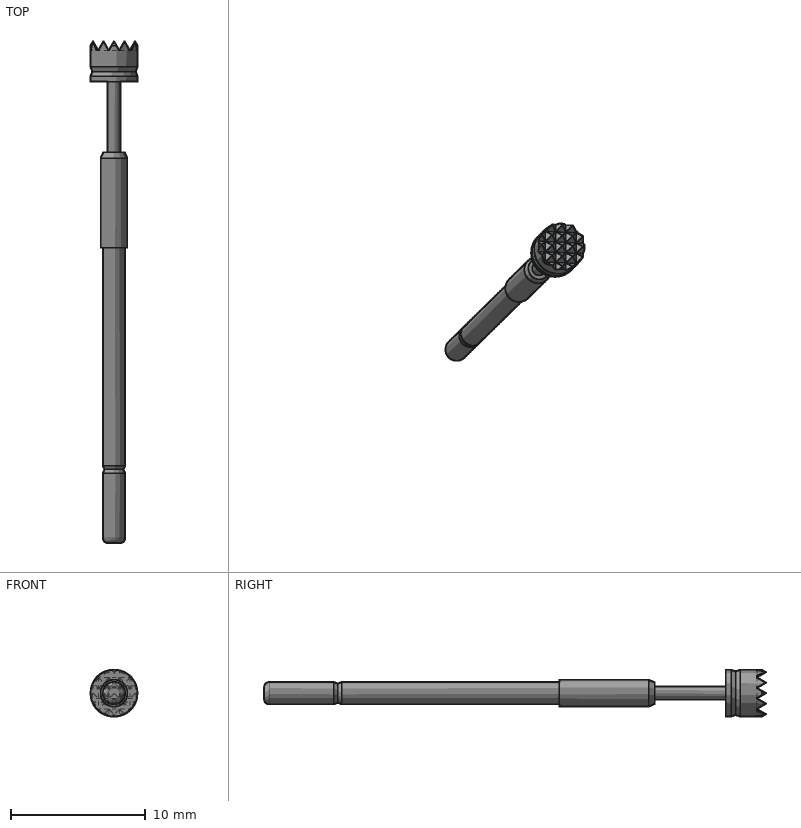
import cadquery as cq
import math


total_length = 37.3
head_length = 3.0
rod_length = 5.25
collar_length = 7.1
tail_length = 5.2

head_diameter = 3.5
rod_diameter = 1.0
collar_diameter = 2.0
barrel_diameter = 1.67

collar_lead_length = 0.45
collar_lead_depth = 0.2
tail_round = 0.4
head_groove_offset = 0.4
head_groove_width = 0.68
head_groove_depth = 0.12
barrel_groove_width = 0.56
barrel_groove_depth = 0.12

tooth_pitch = 0.78
tooth_angle = 60.0
grooves_per_side = 3

head_back = total_length - head_length
collar_front = head_back - rod_length
collar_back = collar_front - collar_length
head_radius = head_diameter / 2
rod_radius = rod_diameter / 2
collar_radius = collar_diameter / 2
barrel_radius = barrel_diameter / 2
tooth_depth = tooth_pitch / 2 / math.tan(math.radians(tooth_angle / 2))


def cylinder(radius, start, end):
    """Solid cylinder on the Y axis between two Y positions."""
    return cq.Workplane("XZ", origin=(0, start, 0)).circle(radius).extrude(start - end)


def ring_groove(radius, start, width, depth):
    """Ring with a V section that cuts a groove into a cylinder of the given radius."""
    section = [(radius, start), (radius - depth, start + width / 2), (radius, start + width)]
    return cq.Workplane("XY").polyline(section).close().revolve(360, (0, 0, 0), (0, 1, 0))


def make_barrel():
    barrel = cylinder(barrel_radius, 0, collar_back)
    barrel = barrel.faces("<Y").edges().fillet(tail_round)
    return barrel.cut(ring_groove(barrel_radius, tail_length, barrel_groove_width, barrel_groove_depth))


def make_collar():
    collar = cylinder(collar_radius, collar_back, collar_front)
    return collar.faces(">Y").edges().chamfer(collar_lead_length, collar_lead_depth)


def tooth_groove(center):
    """V groove running along Z through the front of the head."""
    half_pitch = tooth_pitch / 2
    section = [
        (center - half_pitch, total_length),
        (center, total_length - tooth_depth),
        (center + half_pitch, total_length),
    ]
    return cq.Workplane("XY").polyline(section).close().extrude(head_radius, both=True)


def make_head():
    head = cylinder(head_radius, head_back, total_length)
    groove_start = head_back + head_groove_offset
    head = head.cut(ring_groove(head_radius, groove_start, head_groove_width, head_groove_depth))
    for index in range(-grooves_per_side, grooves_per_side):
        groove = tooth_groove((index + 0.5) * tooth_pitch)
        head = head.cut(groove)
        head = head.cut(groove.rotate((0, 0, 0), (0, 1, 0), 90))
    return head


rod = cylinder(rod_radius, collar_front, head_back)
result = make_barrel().union(make_collar()).union(rod).union(make_head())